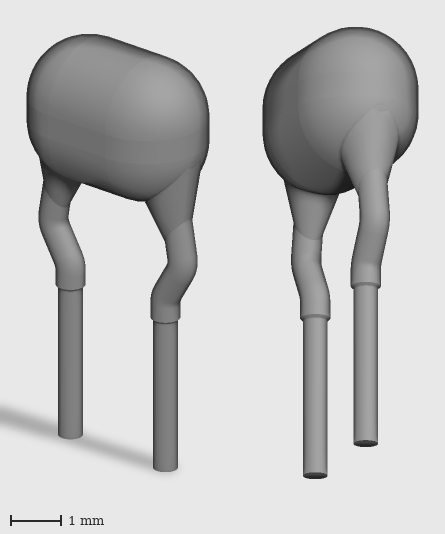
import cadquery as cq
import math

body_length = 4.0
body_width = 2.5
body_height = 2.99
top_z = 8.7

lead_spacing = 2.5
lead_diameter = 0.5
sleeve_diameter = 0.6
sleeve_bottom_z = 3.2
sleeve_chamfer = 0.05
lower_bend_z = 3.56
bend_radius = 0.5
outward_tilt = 31.0
inward_tilt = 10.0
slanted_length = 0.6
upper_run_length = 1.57

flare_foot_x = -1.62
flare_foot_z = 4.67
flare_foot_radius = 0.14
flare_top_radius = 0.78
flare_length = 2.05
flare_tilt = 10.9

end_radius = body_width / 2
straight_length = body_length - body_width
lower_center_z = top_z - body_height + end_radius
upper_center_z = top_z - end_radius
lead_x = -lead_spacing / 2


def make_capsule(center_z):
    """Horizontal capsule along X with hemispherical ends."""
    half = straight_length / 2
    return (
        cq.Workplane("XZ")
        .moveTo(-half - end_radius, center_z)
        .radiusArc((-half, center_z + end_radius), end_radius)
        .lineTo(half, center_z + end_radius)
        .radiusArc((half + end_radius, center_z), end_radius)
        .close()
        .revolve(360, (0, center_z), (1, center_z))
    )


def make_body():
    """Two capsules joined by a vertical band of stadium section."""
    band = (
        cq.Workplane("XY", origin=(0, 0, lower_center_z))
        .slot2D(body_length, body_width)
        .extrude(upper_center_z - lower_center_z)
    )
    return band.union(make_capsule(lower_center_z)).union(make_capsule(upper_center_z))


def step(point, distance, tilt):
    """Point reached from another one in the XZ plane; positive tilt leans to +X."""
    angle = math.radians(tilt)
    return (point[0] + distance * math.sin(angle), point[1] + distance * math.cos(angle))


def bend_end(point, start_tilt, end_tilt):
    """End of a centre-line bend that turns from one tilt to another."""
    turn = end_tilt - start_tilt
    chord = 2 * bend_radius * math.sin(math.radians(abs(turn) / 2))
    return step(point, chord, start_tilt + turn / 2)


def make_sleeve(body):
    """Left sleeve: a round bar along an S-shaped centre line, ending at the body."""
    bend_1_start = (lead_x, lower_bend_z)
    bend_1_end = bend_end(bend_1_start, 0, -outward_tilt)
    bend_2_start = step(bend_1_end, slanted_length, -outward_tilt)
    bend_2_end = bend_end(bend_2_start, -outward_tilt, inward_tilt)
    path = (
        cq.Workplane("XZ")
        .moveTo(lead_x, sleeve_bottom_z)
        .lineTo(*bend_1_start)
        .radiusArc(bend_1_end, -bend_radius)
        .lineTo(*bend_2_start)
        .radiusArc(bend_2_end, bend_radius)
        .lineTo(*step(bend_2_end, upper_run_length, inward_tilt))
    )
    sleeve = (
        cq.Workplane("XY", origin=(lead_x, 0, sleeve_bottom_z))
        .circle(sleeve_diameter / 2)
        .sweep(path)
    )
    return sleeve.faces("<Z").chamfer(sleeve_chamfer).cut(body)


def make_flare(body, sleeve):
    """Left flare: a leaning cone around the sleeve, fitted against the body."""
    tilt = math.radians(flare_tilt)
    cone = cq.Solid.makeCone(
        flare_foot_radius,
        flare_top_radius,
        flare_length,
        pnt=cq.Vector(flare_foot_x, 0, flare_foot_z),
        dir=cq.Vector(math.sin(tilt), 0, math.cos(tilt)),
    )
    return cq.Workplane("XY").add(cone).cut(body).cut(sleeve)


def make_lead():
    """Left lead: a straight wire ending at the sleeve's lower face."""
    return (
        cq.Workplane("XY", origin=(lead_x, 0, 0))
        .circle(lead_diameter / 2)
        .extrude(sleeve_bottom_z)
    )


body = make_body()
left_sleeve = make_sleeve(body)
left_flare = make_flare(body, left_sleeve)
left_lead = make_lead()

solids = [body.solids().val()]
for left_part in (left_sleeve, left_flare, left_lead):
    solids.extend(left_part.solids().vals())
    solids.extend(left_part.mirror("YZ").solids().vals())

result = cq.Compound.makeCompound(solids)